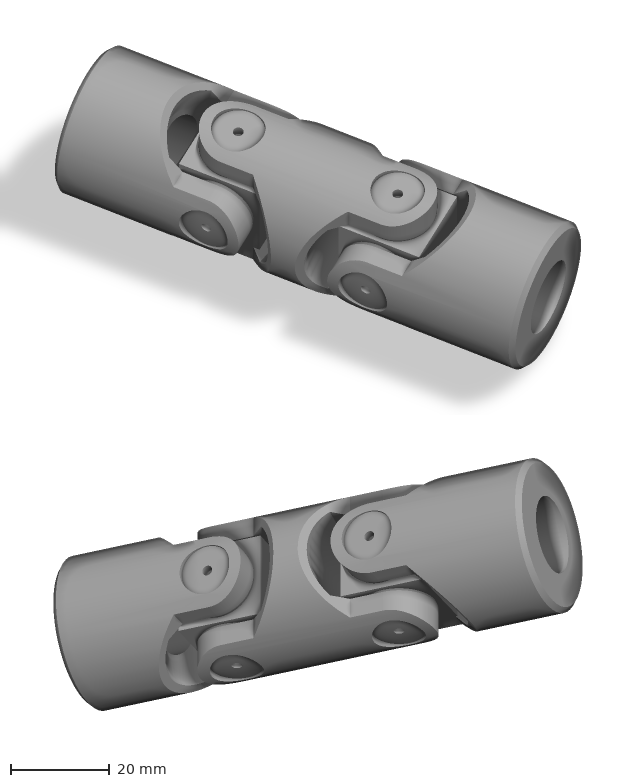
import cadquery as cq
import math

total_length = 104.0
outer_diameter = 32.0
outer_radius = outer_diameter / 2
joint_offset = 18.0
end_chamfer = 1.0

arm_width = 16.0
arm_tip_radius = arm_width / 2
slot_half_width = 9.6
hollow_radius = 13.9
hollow_bulge_radius = 78.0
hollow_setback = 2.1
hub_bore_diameter = 16.0
end_vee_shift = 0.2
middle_vee_shift = 0.7

block_length = 18.2
block_width = 17.4
block_height = 17.9
collar_diameter = 15.5
pin_diameter = 11.0
pin_reach = 14.7
center_hole_diameter = 2.2
center_hole_depth = 2.1

quarter_turn = 90
half_turn = 180
full_turn = 360


def quarter_turn_about_x(shape):
    return shape.rotate((0, 0, 0), (1, 0, 0), quarter_turn)


def z_cylinder(diameter, half_height):
    """Cylinder about the Z axis, symmetric about the XY plane."""
    return cq.Workplane("XY").circle(diameter / 2).extrude(half_height, both=True)


def barrel_hollow():
    """Barrel about the Z axis, as tall as the outer diameter and slightly bulged."""
    bulge_depth = hollow_bulge_radius - math.sqrt(hollow_bulge_radius**2 - outer_radius**2)
    rim_radius = hollow_radius - bulge_depth
    return (
        cq.Workplane("XZ")
        .moveTo(0, -outer_radius)
        .lineTo(rim_radius, -outer_radius)
        .threePointArc((hollow_radius, 0), (rim_radius, outer_radius))
        .lineTo(0, outer_radius)
        .close()
        .revolve(full_turn, (0, 0, 0), (0, 1, 0))
    )


def fork_cut(vee_shift):
    """Material removed around a joint centred on the origin, leaving two arms at +Y and -Y.

    The hub lies on the -X side and the arms point towards +X.
    The 45 degree faces and the hollow are shifted by vee_shift towards the arm tips.
    """
    reach = outer_diameter
    vee_cut = (
        cq.Workplane("XZ")
        .moveTo(vee_shift, 0)
        .lineTo(vee_shift - reach, reach)
        .lineTo(reach, reach)
        .lineTo(reach, -reach)
        .lineTo(vee_shift - reach, -reach)
        .close()
        .extrude(reach, both=True)
    )
    arms = (
        cq.Workplane("XZ")
        .moveTo(-reach, -arm_tip_radius)
        .lineTo(0, -arm_tip_radius)
        .threePointArc((arm_tip_radius, 0), (0, arm_tip_radius))
        .lineTo(-reach, arm_tip_radius)
        .close()
        .extrude(reach, both=True)
    )
    hollow = barrel_hollow().translate((vee_shift - hollow_setback, 0, 0))
    open_side = cq.Workplane("XY").box(reach, outer_diameter, 2 * reach).translate((reach / 2, 0, 0))
    slot_band = cq.Workplane("XY").box(2 * reach, 2 * slot_half_width, 2 * reach)
    slot = hollow.union(open_side).intersect(slot_band)
    pin_hole = quarter_turn_about_x(z_cylinder(pin_diameter, reach))
    return vee_cut.cut(arms).union(slot).union(pin_hole)


def end_yoke():
    """Left hub with its fork arms at +Y and -Y."""
    hub_length = total_length / 2 - joint_offset
    body = (
        cq.Workplane("YZ")
        .circle(outer_radius)
        .extrude(hub_length + arm_tip_radius)
        .faces("<X")
        .chamfer(end_chamfer)
        .translate((-total_length / 2, 0, 0))
    )
    bore = (
        cq.Workplane("YZ")
        .circle(hub_bore_diameter / 2)
        .extrude(hub_length)
        .translate((-total_length / 2, 0, 0))
    )
    return body.cut(fork_cut(end_vee_shift).translate((-joint_offset, 0, 0))).cut(bore)


def middle_yoke():
    """Double fork with both pairs of arms at +Z and -Z."""
    half_length = joint_offset + arm_tip_radius
    body = cq.Workplane("YZ").circle(outer_radius).extrude(half_length, both=True)
    right_cut = quarter_turn_about_x(fork_cut(middle_vee_shift)).translate((joint_offset, 0, 0))
    left_cut = right_cut.rotate((0, 0, 0), (0, 0, 1), half_turn)
    return body.cut(right_cut).cut(left_cut)


def cross():
    """Block with collars and four pins, centred on the origin."""
    body = cq.Workplane("XY").box(block_length, block_width, block_height)
    trunnions = z_cylinder(collar_diameter, slot_half_width).union(z_cylinder(pin_diameter, pin_reach))
    for end in (1, -1):
        center_hole = (
            cq.Workplane("XY", origin=(0, 0, end * pin_reach))
            .circle(center_hole_diameter / 2)
            .extrude(-end * center_hole_depth)
        )
        trunnions = trunnions.cut(center_hole)
    return body.union(trunnions).union(quarter_turn_about_x(trunnions))


double_fork = middle_yoke()
end_yokes = [end_yoke().rotate((0, 0, 0), (0, 0, 1), angle) for angle in (0, half_turn)]
crosses = [cross().translate((x, 0, 0)) for x in (-joint_offset, joint_offset)]

result = cq.Compound.makeCompound([
    double_fork.val(),
    *[yoke.val() for yoke in end_yokes],
    *[piece.val() for piece in crosses],
])